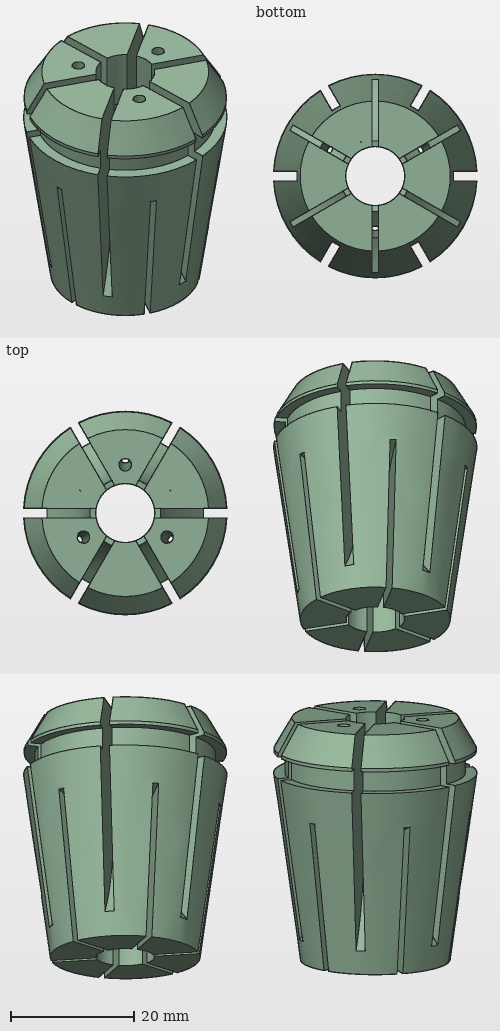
import cadquery as cq
import math

height = 40
body_radius = 16.5
body_top = 30.9
body_taper = math.tan(math.radians(8))
foot_radius = body_radius - body_top * body_taper

neck_radius = 14.65
head_radius = 16.4
head_bottom = 34.5
head_band_top = 35.05
face_radius = 13.5

bore_radius = 4.75
relief_radius = 5.7
relief_bottom = 16
relief_top = 30
relief_taper = 80

slots_per_end = 6
slot_pitch = 360 / slots_per_end
slot_reach = body_radius + 2

upper_slot_width = 1.5
upper_slot_inner_z = 19.45
upper_slot_outer_z = 4
upper_slot_floor_radius = 25.6

lower_slot_width = 1.0
lower_slot_inner_z = 17.45
lower_slot_outer_z = 24.95
lower_slot_roof_radius = 16

hole_count = 3
hole_diameter = 2
hole_top_radius = 7.8
hole_depth = 20.4
hole_tilt = 4
first_hole_angle = 90


def body_radius_at(z):
    """Radius of the tapered body at height z."""
    return foot_radius + z * body_taper


def make_body():
    """Solid of revolution: tapered body, neck and head."""
    profile = [
        (0, 0),
        (foot_radius, 0),
        (body_radius, body_top),
        (neck_radius, body_top),
        (neck_radius, head_bottom),
        (head_radius, head_bottom),
        (head_radius, head_band_top),
        (face_radius, height),
        (0, height),
    ]
    return cq.Workplane("XZ").polyline(profile).close().revolve(360, (0, 0), (0, 1))


def make_bore():
    """Through bore widened by a relief with tapered ends."""
    taper_height = (relief_radius - bore_radius) / math.tan(math.radians(relief_taper))
    profile = [
        (0, 0),
        (bore_radius, 0),
        (bore_radius, relief_bottom - taper_height),
        (relief_radius, relief_bottom),
        (relief_radius, relief_top),
        (bore_radius, relief_top + taper_height),
        (bore_radius, height),
        (0, height),
    ]
    return cq.Workplane("XZ").polyline(profile).close().revolve(360, (0, 0), (0, 1))


def make_slot(width, inner_z, outer_z, arc_radius, open_end_z):
    """Radial slot along +X whose closed end is an arc from the relief to the outer taper."""
    return (
        cq.Workplane("XZ")
        .moveTo(0, inner_z)
        .lineTo(relief_radius, inner_z)
        .radiusArc((body_radius_at(outer_z), outer_z), arc_radius)
        .lineTo(slot_reach, outer_z)
        .lineTo(slot_reach, open_end_z)
        .lineTo(0, open_end_z)
        .close()
        .extrude(width / 2, both=True)
    )


def make_hole():
    """Hole along +X that leans away from the axis as it goes down."""
    overshoot = hole_diameter
    return (
        cq.Workplane("XY")
        .circle(hole_diameter / 2)
        .extrude(hole_depth + overshoot)
        .translate((0, 0, -hole_depth))
        .rotate((0, 0, 0), (0, 1, 0), -hole_tilt)
        .translate((hole_top_radius, 0, height))
    )


def cut_around(part, cutter, count, first_angle):
    """Subtract evenly spaced copies of a cutter around the Z axis."""
    for i in range(count):
        angle = first_angle + i * 360 / count
        part = part.cut(cutter.rotate((0, 0, 0), (0, 0, 1), angle))
    return part


upper_slot = make_slot(
    upper_slot_width, upper_slot_inner_z, upper_slot_outer_z, -upper_slot_floor_radius, height
)
lower_slot = make_slot(
    lower_slot_width, lower_slot_inner_z, lower_slot_outer_z, lower_slot_roof_radius, 0
)

result = make_body().cut(make_bore())
result = cut_around(result, upper_slot, slots_per_end, 0)
result = cut_around(result, lower_slot, slots_per_end, slot_pitch / 2)
result = cut_around(result, make_hole(), hole_count, first_hole_angle)